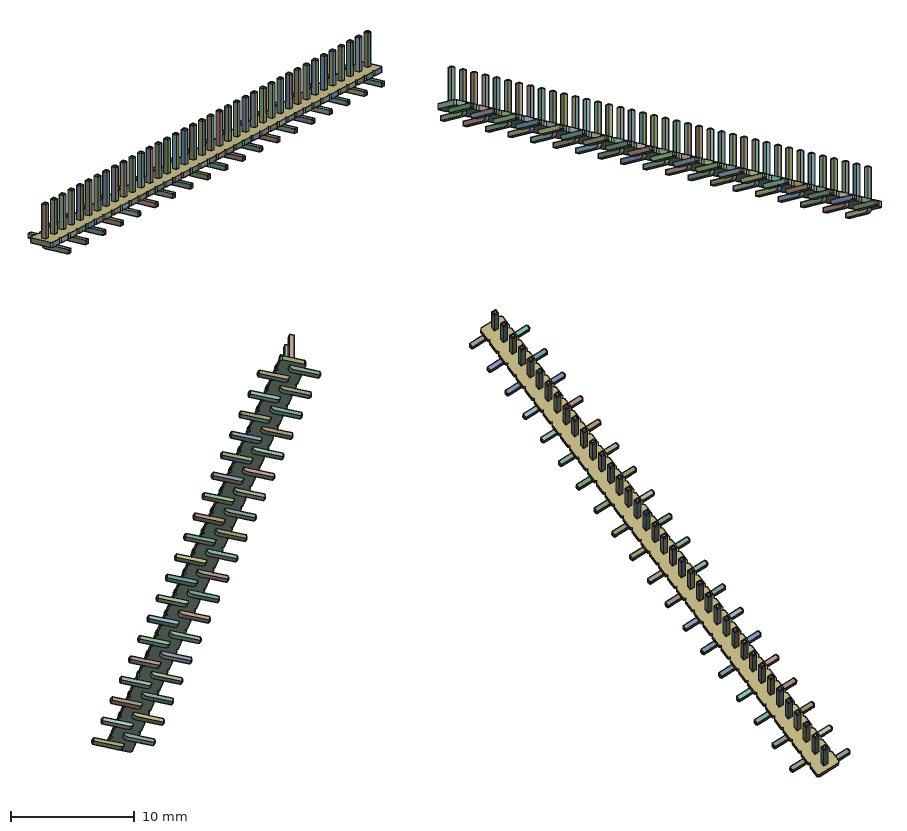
import cadquery as cq

pin_count = 38
strip_length = 48.25
pitch = strip_length / pin_count

leg_span = 4.9
total_height = 3.9

wire = 0.405
bend_radius = 0.35
tip_chamfer = 0.1

body_width = 2.15
body_height = 0.455
notch_depth = 0.15
notch_half_length = 0.15


def pin_position(index):
    """Y of a pin, counted from the -Y end of the strip."""
    return (index + 0.5) * pitch - strip_length / 2


def body():
    """Bar with a V-notch in both long sides between pins and bevelled end corners."""
    edge_x = body_width / 2
    notch_x = edge_x - notch_depth
    flat_half_length = pitch / 2 - notch_half_length

    right_side = [(notch_x, -strip_length / 2)]
    for index in range(pin_count):
        y = pin_position(index)
        right_side.append((edge_x, y - flat_half_length))
        right_side.append((edge_x, y + flat_half_length))
        right_side.append((notch_x, y + pitch / 2))
    left_side = [(-x, y) for x, y in reversed(right_side)]

    return (
        cq.Workplane("XY", origin=(0, 0, wire))
        .polyline(right_side + left_side)
        .close()
        .extrude(body_height)
    )


def bent_pin():
    """An upright pin whose foot bends into a leg towards +X, centred on Y = 0."""
    upright = cq.Workplane("XY").box(wire, wire, total_height, centered=(True, True, False))
    leg_length = leg_span / 2 + wire / 2
    leg = (
        cq.Workplane("XY", origin=(-wire / 2, 0, 0))
        .box(leg_length, wire, wire, centered=(False, True, False))
    )
    pin = upright.union(leg)
    pin = pin.edges("|Y and <X and <Z").fillet(bend_radius)
    for tip in (">Z", ">X"):
        pin = pin.faces(tip).chamfer(tip_chamfer)
    return pin


right_pin = bent_pin()
left_pin = right_pin.rotate((0, 0, 0), (0, 0, 1), 180)
pins = []
for index in range(pin_count):
    pin = right_pin if index % 2 == 0 else left_pin
    pins.append(pin.translate((0, pin_position(index), 0)).val())

result = body().union(cq.Workplane(cq.Compound.makeCompound(pins)))